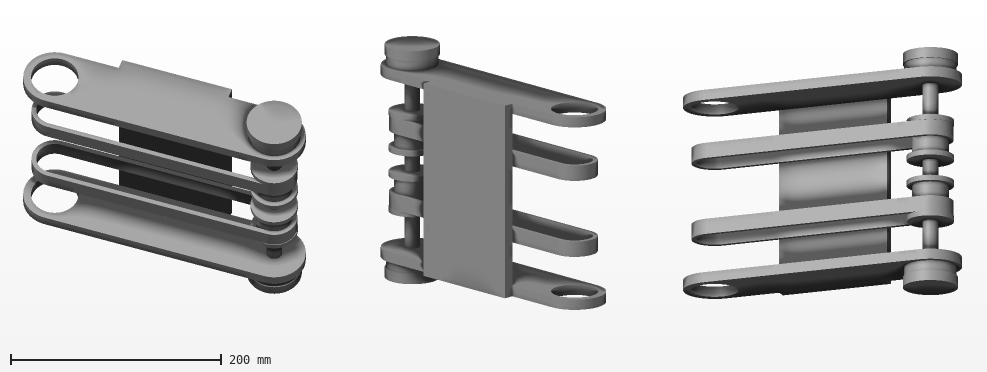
import cadquery as cq

centre_distance = 220.0
shaft_x = centre_distance / 2
hole_x = -centre_distance / 2

plate_width = 60.0
plate_thickness = 10.0
plate_spacing = 170.0
plate_hole_diameter = 45.0
plate_inner_z = plate_spacing / 2
plate_outer_z = plate_inner_z + plate_thickness

web_length = 110.0
web_thickness = 10.0
web_centre_x = -1.0

shaft_diameter = 15.0
neck_diameter = 50.0
neck_height = 10.0
cap_diameter = 52.5
cap_height = 10.0

pulley_gap = 20.0
hub_diameter = 35.0
hub_height = 30.0
flange_diameter = 45.0
flange_thickness = 5.0
belt_height = 15.0
belt_thickness = 4.5


def cylinder(x, diameter, z_start, height):
    return cq.Workplane("XY", origin=(x, 0, z_start)).circle(diameter / 2).extrude(height)


def link(width, z_start, height):
    """Round-ended bar whose end centres are one centre distance apart."""
    outline = cq.Workplane("XY", origin=(0, 0, z_start))
    return outline.slot2D(centre_distance + width, width).extrude(height)


def side_plate():
    plate = link(plate_width, plate_inner_z, plate_thickness)
    return plate.cut(cylinder(hole_x, plate_hole_diameter, plate_inner_z, plate_thickness))


def end_cap():
    neck = cylinder(shaft_x, neck_diameter, plate_outer_z, neck_height)
    return neck.union(cylinder(shaft_x, cap_diameter, plate_outer_z + neck_height, cap_height))


def pulley():
    inner_flange_z = pulley_gap / 2
    hub_z = inner_flange_z + flange_thickness
    outer_flange_z = hub_z + hub_height
    inner_flange = cylinder(shaft_x, flange_diameter, inner_flange_z, flange_thickness)
    hub = cylinder(shaft_x, hub_diameter, hub_z, hub_height)
    outer_flange = cylinder(shaft_x, flange_diameter, outer_flange_z, flange_thickness)
    return inner_flange.union(hub).union(outer_flange)


def belt():
    """Closed loop wrapped round the hub, resting against the outer flange."""
    belt_z = pulley_gap / 2 + flange_thickness + hub_height - belt_height
    outer = link(hub_diameter + 2 * belt_thickness, belt_z, belt_height)
    return outer.cut(link(hub_diameter, belt_z, belt_height))


def back_web():
    web_y = plate_width / 2 + web_thickness / 2
    return cq.Workplane("XY").box(web_length, web_thickness, 2 * plate_outer_z).translate(
        (web_centre_x, web_y, 0)
    )


def shaft():
    return cylinder(shaft_x, shaft_diameter, -plate_inner_z, plate_spacing)


upper_half = side_plate().union(end_cap()).union(belt().union(pulley()))
lower_half = upper_half.mirror("XY")
result = shaft().union(upper_half).union(lower_half).union(back_web())